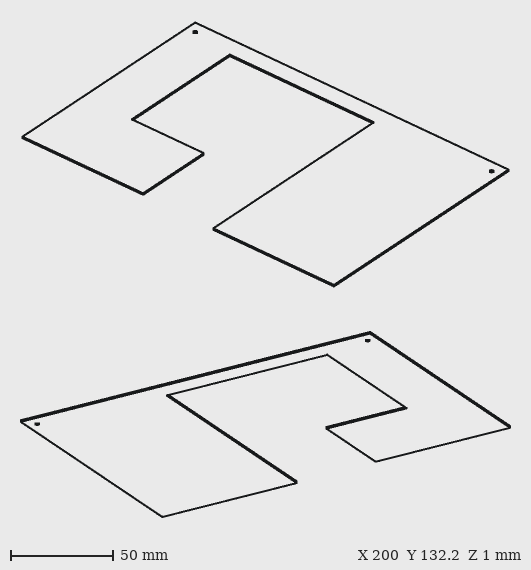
import cadquery as cq

length = 200.0
width = 132.2
thickness = 1.0

strip_width = 10.5
left_arm_width = 31.0
right_arm_width = 77.0
left_arm_rise = 1.5

foot_size = 46.0

hole_diameter = 2.0
hole_side_inset = 5.5
hole_top_inset = 6.5

opening_top = width - strip_width
opening_right = length - right_arm_width
foot_right = left_arm_width + foot_size
foot_top = left_arm_rise + foot_size

outline = [
    (0, left_arm_rise),
    (foot_right, left_arm_rise),
    (foot_right, foot_top),
    (left_arm_width, foot_top),
    (left_arm_width, opening_top),
    (opening_right, opening_top),
    (opening_right, 0),
    (length, 0),
    (length, width),
    (0, width),
]
plate = cq.Workplane("XY").polyline(outline).close().extrude(thickness)

hole_y = width - hole_top_inset
hole_centers = [(hole_side_inset, hole_y), (length - hole_side_inset, hole_y)]
holes = (
    cq.Workplane("XY")
    .pushPoints(hole_centers)
    .circle(hole_diameter / 2)
    .extrude(thickness)
)

result = plate.cut(holes)